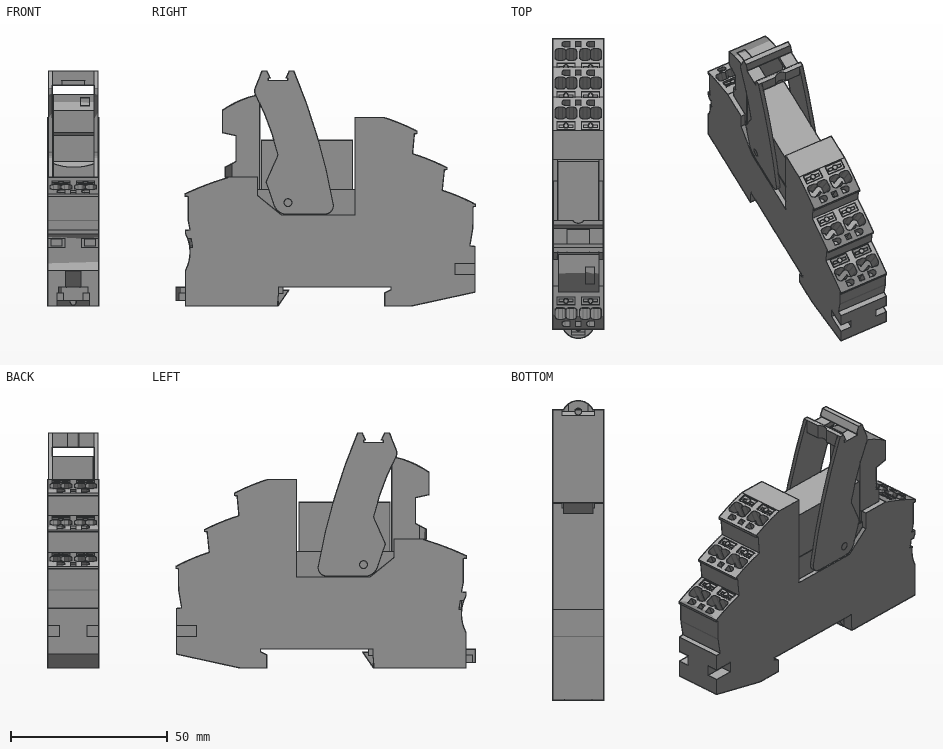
import cadquery as cq
import math


SOCKET_WIDTH = 16.4
HALF_WIDTH = SOCKET_WIDTH / 2
SOCKET_REAR = 92.4
TOWER_FRONT = 54.1
TOWER_TOP = 60.2
SHELF_REAR = 23.0
SHELF_TOP = 41.1
LEDGE_Z = 29.1
SEAT_TOP = 37.2
SEAT_HALF_WIDTH = 6.7
RAIL_SLOT_TOP = 6.0
ARC_RISE = 0.3

FRONT_TIER = ((-0.2, 35.8), (13.6, 41.0))
LOW_TIER = ((92.6, 32.4), (82.0, 36.9))
MIDDLE_TIER = ((83.5, 44.1), (72.5, 48.6))
TOP_TIER = ((74.0, 55.8), (63.3, TOWER_TOP))
TIERS = [FRONT_TIER, LOW_TIER, MIDDLE_TIER, TOP_TIER]

TEST_ROW = 1.8
WIRE_ROW = 5.2
LABEL_ROW = 9.1
POLE_X = 3.9
WIRE_WIDTH = 3.4
WIRE_LENGTH = 4.0
WIRE_CORNER = 1.1
WIRE_DEPTH = 9.6
TEST_RADIUS = 1.0
TEST_WIDTH = 2.5
TEST_DEPTH = 4.8
SQUARE_SIZE = 1.7
LABEL_LENGTH = 5.6
LABEL_WIDTH = 2.7
LABEL_DEPTH = 0.4
LABEL_SLOT_LENGTH = 4.4
LABEL_SLOT_WIDTH = 0.9
LABEL_HUB_RADIUS = 0.8

NOTCH_LENGTH = 6.4
NOTCH_BOTTOM = 10.0
NOTCH_HEIGHT = 3.5
NOTCH_DEPTH = 3.7
MARKER_POCKET = [(-1.0, 18.75), (2.3, 18.75), (1.8, 21.6), (-1.0, 21.6)]
MARKER_POCKET_WIDTH = 5.55
MARKER_BLOCK = [(2.5, 19.1), (1.5, 19.1), (1.5, 21.3), (2.5, 21.3)]
MARKER_BLOCK_WIDTH = 3.5
MARKER_BLOCK_X = 5.4

FOOT_HALF_WIDTH = 4.8
FOOT_REACH = 3.1
FOOT_BOTTOM = 1.7
FOOT_STEM_HALF_WIDTH = 3.1
FOOT_STEM_TOP = 4.1
FOOT_RECESS_HALF_WIDTH = 5.3
FOOT_RECESS_DEPTH = 0.5
FOOT_RELIEF = 1.2
BLADE_HALF_WIDTH = 2.2
BLADE_POCKET = [(4.8, 2.9), (-1.0, 2.9), (-2.0, 6.0), (4.8, 6.0)]
BLADE_HOLE_RADIUS = 1.1
BLADE_HOLE_Y = 0.5
TOOL_SLOT_WIDTH = 5.1
TOOL_SLOT_TOP = 11.2
TOOL_SLOT_DEPTH = 2.2
HOOK_ROOT = 29.6
HOOK_SHOULDER = 31.2
HOOK_TIP = (33.0, 5.1)
HOOK_SHOULDER_BOTTOM = 4.0

LEVER_BOTTOM = 29.4
PIVOT_Y = 32.7
PIVOT_Z = 33.0
PIVOT_RADIUS = 1.2
LEVER_HALF_WIDTH = 7.9
LEVER_TOP = 75.0
WEB_FRONT = 24.4
WEB_REAR = 34.6
WEB_BOTTOM = 70.4
WEB_FLOOR = 72.0
WINDOW_HALF_WIDTH = 3.6
WINDOW_REAR = 31.7
THUMB_NOTCH_RADIUS = 2.2
THUMB_NOTCH_DEPTH = 1.0

RELAY_HALF_WIDTH = 6.5
RELAY_FRONT = 24.2
RELAY_REAR = 53.4
RELAY_TOP = 52.9

PLUG_LEFT = -6.3
PLUG_RIGHT = SEAT_HALF_WIDTH
PLUG_REAR = 23.7
PLUG_TOP = 67.5
PLUG_NOSE = 11.8
PLUG_NOSE_TOP = 62.5
PLUG_CROWN = (17.9, 65.8)
PLUG_NOSE_BOTTOM = 55.3
PLUG_NECK = 16.1
PLUG_NECK_TOP = 54.3
FLANGE_REAR_TOP = 46.1
FLANGE_FRONT_TOP = 44.3
FLANGE_REACH = 12.6
FLANGE_CORNER = 14.8
LENS_X = 3.7
LENS_WIDTH = 2.8
LENS_FRONT = 14.3
LENS_LENGTH = 5.55
LENS_DEPTH = 0.2


def box(x_range, y_range, z_range):
    """Box between the given limits along each axis."""
    size = [high - low for low, high in (x_range, y_range, z_range)]
    return cq.Workplane("XY").box(*size, centered=False).translate((x_range[0], y_range[0], z_range[0]))


def extrude_x(outline, x_min, x_max):
    """Extrude a closed (Y, Z) sketch along X."""
    return outline.extrude(x_max - x_min).translate((x_min, 0, 0))


def prism(points, x_min, x_max):
    """Prism along X over a (Y, Z) polygon."""
    return extrude_x(cq.Workplane("YZ").polyline(points).close(), x_min, x_max)


def both_sides(body):
    """The body together with its mirror image across X = 0."""
    return body.union(body.mirror("YZ"))


def tier_slope(tier):
    """Rise angle of a tier from its outer to its inner edge, in radians."""
    (outer_y, outer_z), (inner_y, inner_z) = tier
    return math.atan2(inner_z - outer_z, abs(inner_y - outer_y))


def tier_crown(tier):
    """Point on the arc of a tier above the middle of its chord."""
    (outer_y, outer_z), (inner_y, inner_z) = tier
    return ((outer_y + inner_y) / 2, (outer_z + inner_z) / 2 + ARC_RISE)


def socket_outline():
    """Side outline of the socket, from the front bottom corner up, over the top and back below."""
    outline = cq.Workplane("YZ").moveTo(0, 0).lineTo(0, 11.4)
    outline = outline.threePointArc((1.4, 17.2), (0, 23.1))
    front_lip = [(0, 24.2), (1.4, 24.3), (0.9, 27.3), (0.9, 34.9), (-0.2, 35.0), FRONT_TIER[0]]
    outline = outline.polyline(front_lip, includeCurrent=True)
    outline = outline.threePointArc(tier_crown(FRONT_TIER), FRONT_TIER[1])
    relay_well = [
        (FRONT_TIER[1][0], SHELF_TOP), (SHELF_REAR, SHELF_TOP), (SHELF_REAR, 35.3),
        (30.6, LEDGE_Z), (TOWER_FRONT, LEDGE_Z), (TOWER_FRONT, TOWER_TOP), TOP_TIER[1],
    ]
    outline = outline.polyline(relay_well, includeCurrent=True)
    outline = outline.threePointArc(tier_crown(TOP_TIER), TOP_TIER[0])
    outline = outline.polyline([(74.0, 55.0), (73.1, 54.9), MIDDLE_TIER[1]], includeCurrent=True)
    outline = outline.threePointArc(tier_crown(MIDDLE_TIER), MIDDLE_TIER[0])
    outline = outline.polyline([(83.5, 43.5), (82.7, 43.4), LOW_TIER[1]], includeCurrent=True)
    outline = outline.threePointArc(tier_crown(LOW_TIER), LOW_TIER[0])
    rear_and_base = [
        (92.6, 31.8), (91.8, 31.7), (91.7, 24.9), (90.8, 19.2), (SOCKET_REAR, 19.0),
        (SOCKET_REAR, 4.4), (72.2, 0), (63.5, 0), (63.5, 4.2), (65.5, 5.2),
        (65.5, RAIL_SLOT_TOP), (29.8, RAIL_SLOT_TOP), (29.5, 0),
    ]
    return outline.polyline(rear_and_base, includeCurrent=True).close()


def tier_plane(tier):
    """Work plane on the chord of a tier: local y climbs from the outer edge, normal points out."""
    outer_y, outer_z = tier[0]
    inward = 1 if tier[1][0] > outer_y else -1
    slope = tier_slope(tier)
    normal = (0, -inward * math.sin(slope), math.cos(slope))
    return cq.Plane(origin=(0, outer_y, outer_z), xDir=(inward, 0, 0), normal=normal)


def test_opening(plane, pole, row, above):
    """D-shaped opening, round towards -X and square towards +X."""
    half_width = TEST_WIDTH / 2
    round_side = -plane.xDir.x
    round_start = round_side * (half_width - TEST_RADIUS)
    return (
        cq.Workplane(plane).workplane(offset=above).center(pole, row)
        .moveTo(-round_side * half_width, -TEST_RADIUS)
        .lineTo(round_start, -TEST_RADIUS)
        .threePointArc((round_side * half_width, 0), (round_start, TEST_RADIUS))
        .lineTo(-round_side * half_width, TEST_RADIUS)
        .close()
        .extrude(-above - TEST_DEPTH)
    )


def terminal_openings(tier):
    """Wire, test and label openings of one terminal face, square to that face."""
    slope = tier_slope(tier)
    test_y, wire_y, label_y = [row / math.cos(slope) for row in (TEST_ROW, WIRE_ROW, LABEL_ROW)]
    plane = tier_plane(tier)
    above = 1.0

    def sketch_at(points):
        return cq.Workplane(plane).workplane(offset=above).pushPoints(points)

    wire_points = []
    for pole in (-POLE_X, POLE_X):
        wire_points += [(pole - WIRE_WIDTH / 2, wire_y), (pole + WIRE_WIDTH / 2, wire_y)]
    poles = [(-POLE_X, label_y), (POLE_X, label_y)]
    cut = sketch_at([(0, test_y)]).rect(SQUARE_SIZE, SQUARE_SIZE).extrude(-above - TEST_DEPTH)
    for point in wire_points:
        opening = sketch_at([point]).rect(WIRE_WIDTH, WIRE_LENGTH).extrude(-above - WIRE_DEPTH)
        cut = cut.union(opening.edges(cq.ParallelDirSelector(plane.zDir)).fillet(WIRE_CORNER))
    for pole in (-POLE_X, POLE_X):
        cut = cut.union(test_opening(plane, pole, test_y, above))
    recess = sketch_at(poles).rect(LABEL_LENGTH, LABEL_WIDTH).extrude(-above - LABEL_DEPTH)
    slot = sketch_at(poles).rect(LABEL_SLOT_LENGTH, LABEL_SLOT_WIDTH).extrude(-above - 2 * LABEL_DEPTH)
    hub = sketch_at(poles).circle(LABEL_HUB_RADIUS).extrude(-above - 2 * LABEL_DEPTH)
    return cut.union(recess.union(slot).cut(hub))


def marker_pockets():
    """Two pockets in the front face, open to the sides, each with a raised block left inside."""
    pocket = prism(MARKER_POCKET, -HALF_WIDTH, -HALF_WIDTH + MARKER_POCKET_WIDTH)
    half_block = MARKER_BLOCK_WIDTH / 2
    block = prism(MARKER_BLOCK, -MARKER_BLOCK_X - half_block, -MARKER_BLOCK_X + half_block)
    return both_sides(pocket.cut(block))


def rear_notches():
    """Blind notches in the rear corners of both sides."""
    notch = box(
        (-HALF_WIDTH, -HALF_WIDTH + NOTCH_DEPTH),
        (SOCKET_REAR - NOTCH_LENGTH, SOCKET_REAR),
        (NOTCH_BOTTOM, NOTCH_BOTTOM + NOTCH_HEIGHT),
    )
    return both_sides(notch)


def foot():
    """Rounded pull foot, stepped narrower below."""
    tab = (
        cq.Workplane("XY").workplane(offset=FOOT_BOTTOM)
        .moveTo(-FOOT_HALF_WIDTH, FOOT_RECESS_DEPTH)
        .lineTo(-FOOT_HALF_WIDTH, 0)
        .threePointArc((0, -FOOT_REACH), (FOOT_HALF_WIDTH, 0))
        .lineTo(FOOT_HALF_WIDTH, FOOT_RECESS_DEPTH)
        .close()
        .extrude(RAIL_SLOT_TOP - FOOT_BOTTOM)
    )
    step = box(
        (-FOOT_HALF_WIDTH, -FOOT_STEM_HALF_WIDTH),
        (-FOOT_REACH, FOOT_RECESS_DEPTH),
        (FOOT_BOTTOM, FOOT_STEM_TOP),
    )
    return tab.cut(both_sides(step))


def blade_pocket():
    """Pocket through the foot into the socket, with a small hole down through it."""
    pocket = prism(BLADE_POCKET, -BLADE_HALF_WIDTH, BLADE_HALF_WIDTH)
    hole = cq.Workplane("XY").center(0, BLADE_HOLE_Y).circle(BLADE_HOLE_RADIUS).extrude(RAIL_SLOT_TOP)
    return pocket.union(hole)


def rail_hook():
    """Slanted hook at the front edge of the rail slot, with a wider shoulder above it."""
    hook_outline = [
        (HOOK_ROOT, 0), (HOOK_ROOT, RAIL_SLOT_TOP), (HOOK_SHOULDER, RAIL_SLOT_TOP),
        (HOOK_SHOULDER, HOOK_TIP[1]), HOOK_TIP,
    ]
    hook = prism(hook_outline, -FOOT_HALF_WIDTH, FOOT_HALF_WIDTH)
    shoulder = box(
        (-FOOT_RECESS_HALF_WIDTH, FOOT_RECESS_HALF_WIDTH),
        (HOOK_ROOT, HOOK_SHOULDER),
        (HOOK_SHOULDER_BOTTOM, RAIL_SLOT_TOP),
    )
    return hook.union(shoulder)


def foot_clearance():
    """Slanted tool slot above the foot, and the recess around and below it."""
    tool_slot = prism(
        [(0, RAIL_SLOT_TOP), (TOOL_SLOT_DEPTH, RAIL_SLOT_TOP), (0, TOOL_SLOT_TOP)],
        -TOOL_SLOT_WIDTH / 2, TOOL_SLOT_WIDTH / 2,
    )
    recess_outline = [
        (0, 0), (FOOT_RECESS_DEPTH + FOOT_RELIEF, 0), (FOOT_RECESS_DEPTH, FOOT_BOTTOM),
        (FOOT_RECESS_DEPTH, FOOT_STEM_TOP), (0, FOOT_STEM_TOP),
    ]
    recess = prism(recess_outline, -FOOT_RECESS_HALF_WIDTH, FOOT_RECESS_HALF_WIDTH)
    return tool_slot.union(recess)


def pivot_pin():
    """Cylinder along X on which the lever turns."""
    return extrude_x(
        cq.Workplane("YZ").center(PIVOT_Y, PIVOT_Z).circle(PIVOT_RADIUS),
        -LEVER_HALF_WIDTH, LEVER_HALF_WIDTH,
    )


def make_socket():
    body = extrude_x(socket_outline(), -HALF_WIDTH, HALF_WIDTH)
    seat = box(
        (-SEAT_HALF_WIDTH, SEAT_HALF_WIDTH), (SHELF_REAR, TOWER_FRONT), (LEDGE_Z, SEAT_TOP)
    )
    body = body.union(seat).union(pivot_pin())
    for tier in TIERS:
        body = body.cut(terminal_openings(tier))
    body = body.cut(marker_pockets()).cut(rear_notches()).cut(foot_clearance())
    return body.union(foot()).union(rail_hook()).cut(blade_pocket())


def lever_outline():
    """Side outline of the lever, starting at the rear end of its top."""
    return (
        cq.Workplane("YZ").moveTo(WEB_REAR, LEVER_TOP)
        .lineTo(33.1, LEVER_TOP)
        .lineTo(32.05, 72.7).lineTo(32.6, 72.7).lineTo(32.6, WEB_FLOOR)
        .lineTo(26.5, WEB_FLOOR).lineTo(26.5, 72.7).lineTo(27.1, 72.7)
        .lineTo(26.0, LEVER_TOP).lineTo(WEB_FRONT, LEVER_TOP)
        .lineTo(22.2, 69.5).threePointArc((22.1, 68.2), (22.6, 67.0))
        .threePointArc((26.4, 58.4), (29.3, 49.1))
        .threePointArc((29.5, 48.3), (29.3, 47.55))
        .lineTo(25.7, 39.6)
        .lineTo(28.1, 32.7).threePointArc((29.3, 30.6), (31.4, LEVER_BOTTOM))
        .lineTo(44.4, LEVER_BOTTOM).threePointArc((46.5, 30.2), (47.2, 32.4))
        .threePointArc((42.1, 54.1), (WEB_REAR, LEVER_TOP))
        .close()
    )


def make_lever():
    full = extrude_x(lever_outline(), -LEVER_HALF_WIDTH, LEVER_HALF_WIDTH)
    inner = (-SEAT_HALF_WIDTH, SEAT_HALF_WIDTH)
    lever_reach = (0, TOWER_FRONT)
    lever = full.cut(box(inner, lever_reach, (0, WEB_BOTTOM)))
    lever = lever.cut(box(inner, (0, WEB_FRONT), (WEB_BOTTOM, LEVER_TOP)))
    lever = lever.cut(box(inner, (WEB_REAR, TOWER_FRONT), (WEB_BOTTOM, LEVER_TOP)))
    window = box((-WINDOW_HALF_WIDTH, WINDOW_HALF_WIDTH), (0, WINDOW_REAR), (WEB_BOTTOM, WEB_FLOOR))
    thumb_notch = (
        cq.Workplane("XY").workplane(offset=WEB_BOTTOM)
        .center(0, WEB_REAR + THUMB_NOTCH_RADIUS - THUMB_NOTCH_DEPTH)
        .circle(THUMB_NOTCH_RADIUS)
        .extrude(LEVER_TOP - WEB_BOTTOM)
    )
    return lever.cut(window).cut(thumb_notch).cut(pivot_pin())


def make_relay():
    return box(
        (-RELAY_HALF_WIDTH, RELAY_HALF_WIDTH), (RELAY_FRONT, RELAY_REAR), (SEAT_TOP, RELAY_TOP)
    )


def plug_flange():
    """Foot of the plug with a bowed front and a sloping top."""
    slope_outline = [
        (PLUG_NECK, SHELF_TOP), (FLANGE_REACH, SHELF_TOP),
        (FLANGE_REACH, FLANGE_FRONT_TOP), (PLUG_NECK, FLANGE_REAR_TOP),
    ]
    plan = (
        cq.Workplane("XY").workplane(offset=SHELF_TOP)
        .moveTo(PLUG_LEFT, PLUG_NECK).lineTo(PLUG_LEFT, FLANGE_CORNER)
        .threePointArc(((PLUG_LEFT + PLUG_RIGHT) / 2, FLANGE_REACH), (PLUG_RIGHT, FLANGE_CORNER))
        .lineTo(PLUG_RIGHT, PLUG_NECK).close()
        .extrude(FLANGE_REAR_TOP - SHELF_TOP)
    )
    return prism(slope_outline, PLUG_LEFT, PLUG_RIGHT).intersect(plan)


def plug_outline(top_offset):
    """Side outline of the plug without its flange, with the curved top lowered by an offset."""
    return (
        cq.Workplane("YZ").moveTo(PLUG_REAR, SEAT_TOP)
        .lineTo(PLUG_REAR, PLUG_TOP - top_offset)
        .threePointArc((PLUG_CROWN[0], PLUG_CROWN[1] - top_offset), (PLUG_NOSE, PLUG_NOSE_TOP - top_offset))
        .lineTo(PLUG_NOSE, PLUG_NOSE_BOTTOM).lineTo(PLUG_NECK, PLUG_NECK_TOP)
        .lineTo(PLUG_NECK, SHELF_TOP).lineTo(SHELF_REAR, SHELF_TOP).lineTo(SHELF_REAR, SEAT_TOP)
        .close()
    )


def make_plug():
    plug = extrude_x(plug_outline(0), PLUG_LEFT, PLUG_RIGHT).union(plug_flange())
    lowered = extrude_x(plug_outline(LENS_DEPTH), PLUG_LEFT, PLUG_RIGHT)
    lens = box(
        (LENS_X - LENS_WIDTH / 2, LENS_X + LENS_WIDTH / 2),
        (LENS_FRONT, LENS_FRONT + LENS_LENGTH),
        (PLUG_NOSE_TOP, PLUG_TOP),
    )
    return plug.cut(lens.cut(lowered))


socket = make_socket()
lever = make_lever()
relay = make_relay()
plug = make_plug()

bodies = [socket, lever, relay, plug]
result = cq.Compound.makeCompound([body.solids().val() for body in bodies])